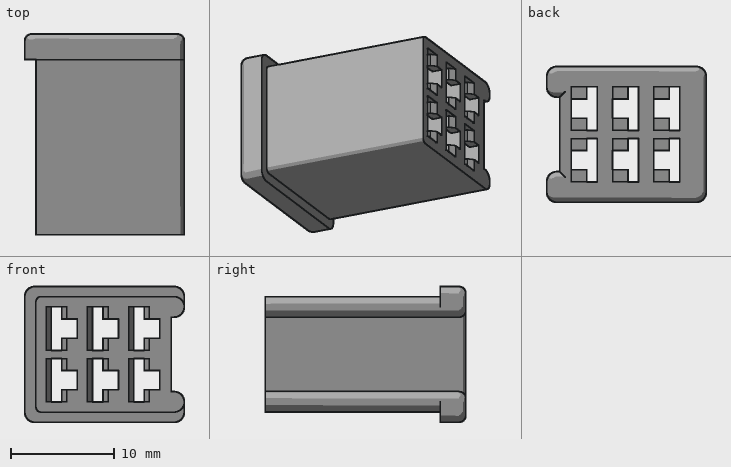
import cadquery as cq
import math

total_width = 15.5
total_length = 19.5
total_height = 13.2

flange_thickness = 2.5
flange_corner_radius = 1.0
flange_edge_fillet = 0.7

body_left_inset = 1.1
body_height_inset = 1.0
body_corner_radius = 0.5

lip_radius = 1.0
channel_depth = 1.25

columns = 3
rows = 2
column_pitch = 4.0
row_pitch = 5.0
cavity_wall = 1.0
slot_width = 1.0
slot_height = 4.2
tongue_reach = 1.5
tongue_height = 1.85
lead_in = 0.5
front_wall = 1.0

right = total_width / 2
flange_left = -right
body_left = flange_left + body_left_inset
flange_top = total_height / 2
body_top = flange_top - body_height_inset
flange_front = total_length - flange_thickness
channel_floor = right - channel_depth
lip_center_x = right - lip_radius
lip_center_z = body_top - lip_radius
channel_top = lip_center_z - lip_radius
chamber_width = slot_width + tongue_reach
first_slot_left = body_left + cavity_wall + lead_in


def sketch_at(y):
    """XZ sketch plane at depth y; extrusions run toward +Y."""
    return cq.Workplane(cq.Plane(origin=(0, y, 0), xDir=(1, 0, 0), normal=(0, -1, 0)))


def lipped_block(y, length, left, top, left_radius):
    """Block with a rounded left side and, on the right, two lips with a channel between them."""
    width = right - left
    block = sketch_at(y).center((left + right) / 2, 0).rect(width, 2 * top).extrude(-length)
    block = block.edges("|Y and <X").fillet(left_radius)
    block = block.edges("|Y and >X").fillet(lip_radius)
    return block.cut(make_channel(y, length))


def make_channel(y, length):
    """Channel along the right side; its flanks curve round the undersides of the lips."""
    arc_offset = lip_radius * math.sqrt(0.5)
    arc_x = lip_center_x + arc_offset
    arc_z = lip_center_z - arc_offset
    return (
        sketch_at(y)
        .moveTo(channel_floor, -channel_top)
        .lineTo(lip_center_x, -channel_top)
        .threePointArc((arc_x, -arc_z), (right, -lip_center_z))
        .lineTo(right, lip_center_z)
        .threePointArc((arc_x, arc_z), (lip_center_x, channel_top))
        .lineTo(channel_floor, channel_top)
        .close()
        .extrude(-length)
    )


def make_body():
    return lipped_block(0, flange_front, body_left, body_top, body_corner_radius)


def make_flange():
    flange = lipped_block(
        flange_front, flange_thickness, flange_left, flange_top, flange_corner_radius
    )
    return flange.faces(">Y").edges().fillet(flange_edge_fillet)


def make_mouth(slot_left, center_z):
    """Slot through the front wall, with a 45 degree lead-in on its left and right sides."""
    slot_right = slot_left + slot_width
    return (
        cq.Workplane("XY", origin=(0, 0, center_z - slot_height / 2))
        .moveTo(slot_left - lead_in, 0)
        .lineTo(slot_right + lead_in, 0)
        .lineTo(slot_right, lead_in)
        .lineTo(slot_right, front_wall)
        .lineTo(slot_left, front_wall)
        .lineTo(slot_left, lead_in)
        .close()
        .extrude(slot_height)
    )


def make_cavity(slot_left, center_z):
    """Through cavity: slot and tongue in the front wall, full-height chamber behind it."""
    chamber_center_x = slot_left + chamber_width / 2
    tongue = (
        sketch_at(0)
        .center(chamber_center_x, center_z)
        .rect(chamber_width, tongue_height)
        .extrude(-front_wall)
    )
    chamber = (
        sketch_at(front_wall)
        .center(chamber_center_x, center_z)
        .rect(chamber_width, slot_height)
        .extrude(front_wall - total_length)
    )
    return make_mouth(slot_left, center_z).union(tongue).union(chamber)


result = make_body().union(make_flange())
for column in range(columns):
    for row in range(rows):
        slot_left = first_slot_left + column * column_pitch
        center_z = (row - (rows - 1) / 2) * row_pitch
        result = result.cut(make_cavity(slot_left, center_z))